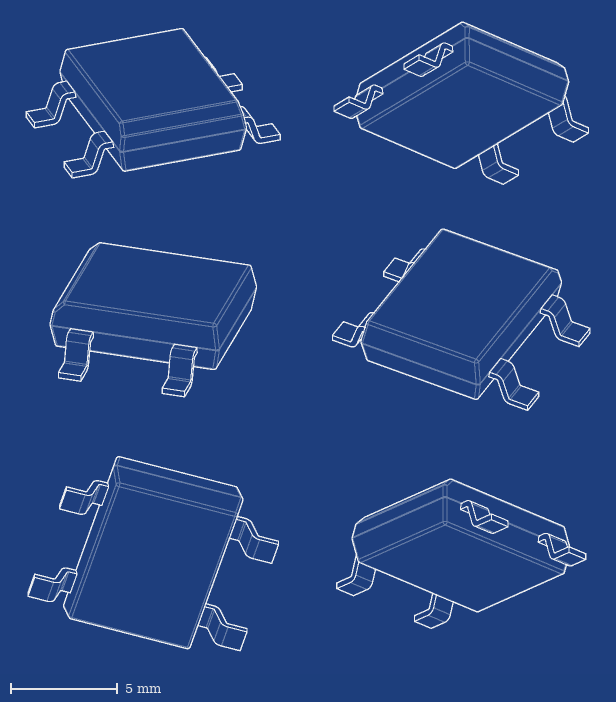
import cadquery as cq
import math

TOTAL_SPAN = 10.4
TOTAL_HEIGHT = 2.8

HOUSING_LENGTH = 8.29
HOUSING_WIDTH = 6.34
STANDOFF = 0.3
PARTING_BAND = 0.04
DRAFT_ANGLE = 10.0
EDGE_RADIUS = 0.15
BEVEL_START_X = 3.5

LEAD_WIDTH = 1.1
LEAD_THICKNESS = 0.3
LEAD_PITCH = 5.08
LEG_ANGLE = 72.0
INNER_BEND_RADIUS = 0.08
FOOT_LENGTH = 0.99

PARTING_Z = (STANDOFF + TOTAL_HEIGHT) / 2
HALF_HEIGHT = (TOTAL_HEIGHT - STANDOFF - PARTING_BAND) / 2
OUTER_BEND_RADIUS = INNER_BEND_RADIUS + LEAD_THICKNESS


def make_drafted_half(direction):
    """Half of the housing that narrows upward (+1) or downward (-1) from the parting band."""
    return (
        cq.Workplane("XY")
        .workplane(offset=PARTING_Z + direction * PARTING_BAND / 2)
        .rect(HOUSING_LENGTH, HOUSING_WIDTH)
        .extrude(direction * HALF_HEIGHT, taper=DRAFT_ANGLE)
    )


def make_parting_band():
    return cq.Workplane("XY", origin=(0, 0, PARTING_Z)).box(HOUSING_LENGTH, HOUSING_WIDTH, PARTING_BAND)


def make_bevel_cutter():
    """Prism above the 45 degree bevel plane, running past the housing on every outer side."""
    reach = HOUSING_LENGTH / 2 - BEVEL_START_X
    return (
        cq.Workplane("XZ")
        .moveTo(BEVEL_START_X - reach, TOTAL_HEIGHT + reach)
        .lineTo(BEVEL_START_X + reach, TOTAL_HEIGHT - reach)
        .lineTo(BEVEL_START_X + reach, TOTAL_HEIGHT + reach)
        .close()
        .extrude(HOUSING_WIDTH, both=True)
    )


def make_housing():
    """Drafted housing with a bevel, rounded on every edge except those of the parting band."""
    body = make_drafted_half(1).union(make_parting_band()).union(make_drafted_half(-1))
    body = body.cut(make_bevel_cutter())
    band_zone = cq.selectors.BoxSelector(
        (-HOUSING_LENGTH, -HOUSING_WIDTH, PARTING_Z - PARTING_BAND),
        (HOUSING_LENGTH, HOUSING_WIDTH, PARTING_Z + PARTING_BAND),
    )
    band_rims = band_zone - cq.selectors.ParallelDirSelector(cq.Vector(0, 0, 1))
    return body.edges(-band_rims).fillet(EDGE_RADIUS)


def make_lead(x, side, housing):
    """Gull-wing lead centred at x on the +Y (+1) or -Y (-1) side, ending against the housing."""
    corner_shift = LEAD_THICKNESS * math.tan(math.radians(LEG_ANGLE / 2))
    leg_run = (PARTING_Z - LEAD_THICKNESS) / math.tan(math.radians(LEG_ANGLE))
    tip = TOTAL_SPAN / 2
    lower_inner = tip - FOOT_LENGTH
    lower_outer = lower_inner - corner_shift
    upper_outer = lower_inner - leg_run
    upper_inner = upper_outer - corner_shift
    shoulder_z = PARTING_Z - LEAD_THICKNESS
    root = HOUSING_WIDTH / 2 - LEAD_THICKNESS

    blank = (
        cq.Workplane("YZ")
        .moveTo(tip, 0)
        .lineTo(tip, LEAD_THICKNESS)
        .lineTo(lower_inner, LEAD_THICKNESS)
        .lineTo(upper_outer, PARTING_Z)
        .lineTo(root, PARTING_Z)
        .lineTo(root, shoulder_z)
        .lineTo(upper_inner, shoulder_z)
        .lineTo(lower_outer, 0)
        .close()
        .extrude(LEAD_WIDTH / 2, both=True)
    )

    def bend_edge(y, z):
        return cq.selectors.NearestToPointSelector((0, y, z))

    blank = blank.edges(bend_edge(lower_inner, LEAD_THICKNESS)).fillet(INNER_BEND_RADIUS)
    blank = blank.edges(bend_edge(upper_inner, shoulder_z)).fillet(INNER_BEND_RADIUS)
    blank = blank.edges(bend_edge(lower_outer, 0)).fillet(OUTER_BEND_RADIUS)
    blank = blank.edges(bend_edge(upper_outer, PARTING_Z)).fillet(OUTER_BEND_RADIUS)
    if side < 0:
        blank = blank.mirror("XZ")
    return blank.translate((x, 0, 0)).cut(housing)


housing = make_housing()

leads = []
for lead_x in (-LEAD_PITCH / 2, LEAD_PITCH / 2):
    for lead_side in (-1, 1):
        leads.append(make_lead(lead_x, lead_side, housing))

result = cq.Compound.makeCompound([housing.val(), *[lead.val() for lead in leads]])